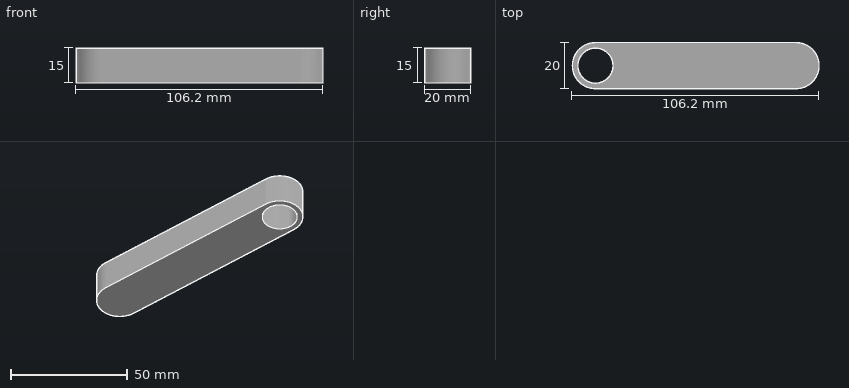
import cadquery as cq

length = 106.2
width = 20.0
thickness = 15.0
hole_diameter = 15.0

end_radius = width / 2
hole_x = -length / 2 + end_radius

bar = cq.Workplane("XY").slot2D(length, width).extrude(thickness)

result = (
    bar.faces(">Z")
    .workplane(origin=(0, 0, thickness))
    .center(hole_x, 0)
    .hole(hole_diameter)
)